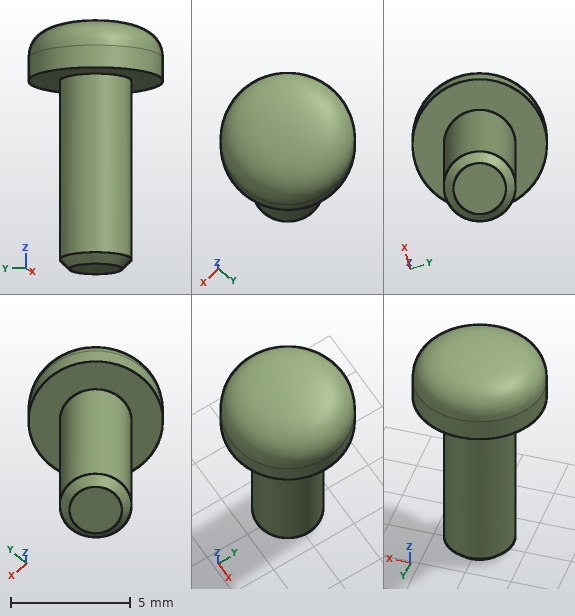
import cadquery as cq

total_length = 10.41
head_diameter = 5.61
head_height = 2.4
rim_height = 0.95
shank_diameter = 3.0
tip_chamfer = 0.41

crown_pull = 1.68
rim_pull = 1.15

head_radius = head_diameter / 2
shank_length = total_length - head_height


def make_head():
    """Short cylindrical rim topped by a smooth dome, level at the crown and upright at the rim."""
    dome_curve = [
        (head_radius, rim_height),
        (head_radius, rim_height + rim_pull),
        (crown_pull, head_height),
        (0, head_height),
    ]
    profile = (
        cq.Workplane("XZ")
        .lineTo(head_radius, 0)
        .lineTo(head_radius, rim_height)
        .bezier(dome_curve)
        .close()
    )
    return profile.revolve(360, (0, 0, 0), (0, 1, 0))


def make_shank():
    """Plain round shank with a chamfered tip."""
    shank = cq.Workplane("XY").circle(shank_diameter / 2).extrude(-shank_length)
    return shank.faces("<Z").chamfer(tip_chamfer)


result = make_head().union(make_shank())